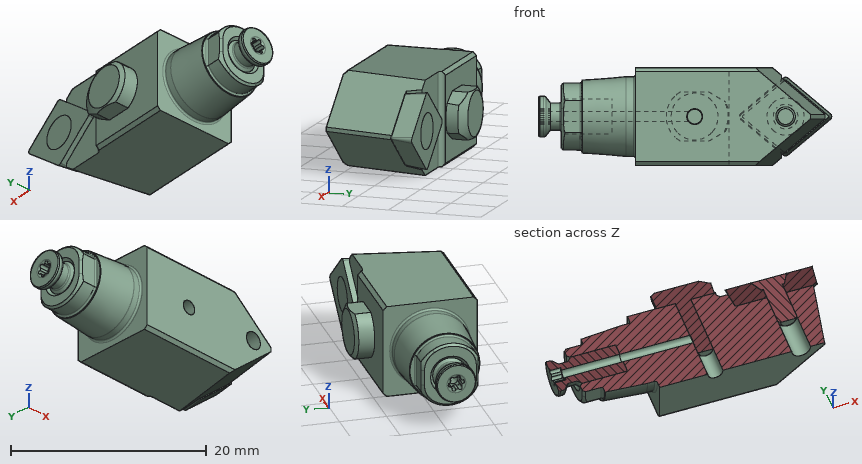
import cadquery as cq
import math

BLOCK_SIDE = 10.0
HALF_SIDE = BLOCK_SIDE / 2
BLOCK_CHAMFER = 0.4
NOSE_X = 17.88
NOSE_WIDTH = 0.45
POINT_HALF_ANGLE = 40.0
RELIEF_ANGLE = 7.0

STEP_X = 9.55
STEP_DEPTH = 0.65
STEP_FILLET = 0.5

SHOULDER_X = -5.47
TAPER_END_X = -1.0
TAPER_SMALL_RADIUS = 3.75
TAPER_LARGE_RADIUS = 8.15 / 2
SHOULDER_CHAMFER = 0.05
BASE_FILLET = 0.2

SPIGOT_END_X = -7.6
SPIGOT_RADIUS = 3.45
FLAT_HALF_WIDTH = 3.02
SPIGOT_FILLET = 0.18
SPIGOT_FACE_RADIUS = 3.2
SPIGOT_FACE_HALF_WIDTH = 2.75
SPIGOT_FACE_CORNER = 2.25
SPIGOT_MOUTH_RADIUS = 4.2 / 2

BOLT_END_X = -9.87
BOLT_TIP_X = -2.4
BOLT_HEAD_RADIUS = 4.2 / 2
BOLT_NECK_RADIUS = 2.8 / 2
BOLT_FLARE_RADIUS = 3.0 / 2
BOLT_EDGE_LENGTH = 0.15
BOLT_EDGE_DROP = 0.1
BOLT_RIM_LENGTH = 0.48
BOLT_ROUND_LENGTH = 0.27
BOLT_ROUND_DROP = 0.12
BOLT_HEAD_LENGTH = 1.2
BOLT_FLARE_LENGTH = 0.18
COOLANT_RADIUS = 1.0 / 2
STAR_RADIUS = 1.32 / 2
STAR_LOBE_RADIUS = 0.2
STAR_LOBES = 6
STAR_TURN = 10.0
STAR_DEPTH = 1.2
STAR_MOUTH_RADIUS = 2.0 / 2
STAR_MOUTH_DEPTH = 0.15

INSERT_TIP_X = 20.03
INSERT_CIRCLE_RADIUS = 3.17
INSERT_THICKNESS = 2.35
INSERT_CORNER = 0.4

SCREW_RADIUS = 2.0 / 2
SCREW_TIP_RADIUS = 1.6 / 2
SCREW_LENGTH = 5.98
SCREW_HEAD_RADIUS = 3.8 / 2
SCREW_SEAT_RADIUS = 2.5 / 2
SCREW_HEAD_DEPTH = 1.2

CLAMP_X = 6.05
CLAMP_HEIGHT = 2.0
CLAMP_HALF_WIDTH = 2.5
CLAMP_BACK_RADIUS = 2.9
CLAMP_FRONT_RADIUS = 3.5
CLAMP_FRONT_BASE_RADIUS = 3.4
CLAMP_SIDE_ANGLE = 31.0
CLAMP_TOP_RADIUS = 2.4
CLAMP_TOP_ANGLE = 32.0
STUD_RADIUS = 1.6 / 2
STUD_TIP_RADIUS = 1.5 / 2
STUD_END_Y = -2.0

TAN_POINT = math.tan(math.radians(POINT_HALF_ANGLE))
SIN_POINT = math.sin(math.radians(POINT_HALF_ANGLE))
NOSE_SLOPE = math.tan(math.radians(RELIEF_ANGLE)) / SIN_POINT
INSERT_CENTRE_X = INSERT_TIP_X + INSERT_CORNER * (1 / SIN_POINT - 1) - INSERT_CIRCLE_RADIUS / SIN_POINT
CLAMP_TOP_Y = HALF_SIDE + CLAMP_HEIGHT
BOLT_BODY_RADIUS = (SPIGOT_MOUTH_RADIUS + BOLT_FLARE_RADIUS) / 2


def turned_on_x(points):
    """Solid of revolution about X from (x, radius) points that start and end on the axis."""
    return cq.Workplane("XY").polyline(points).close().revolve(360, (0, 0, 0), (1, 0, 0))


def turned_on_y(x, points):
    """Solid of revolution about the line X = x, Z = 0 from (radius, y) points."""
    profile = cq.Workplane("XY", origin=(x, 0, 0)).polyline(points).close()
    return profile.revolve(360, (0, 0, 0), (0, 1, 0))


def edges_at(x, radius):
    """Selects the edges that lie at this x and no further than this radius from the X axis."""
    margin = 0.03
    reach = radius + margin
    return cq.selectors.BoxSelector((x - margin, -reach, -reach), (x + margin, reach, reach), boundingbox=True)


def pointed_block():
    """Square block whose point leans forward from the -Y face to the +Y face."""
    half_nose = NOSE_WIDTH / 2
    flank_x = NOSE_X - (HALF_SIDE - half_nose) / TAN_POINT
    back_x = -NOSE_SLOPE * BLOCK_SIDE
    outline = [
        cq.Vector(back_x, -HALF_SIDE, -HALF_SIDE),
        cq.Vector(flank_x, -HALF_SIDE, -HALF_SIDE),
        cq.Vector(NOSE_X, -HALF_SIDE, -half_nose),
        cq.Vector(NOSE_X, -HALF_SIDE, half_nose),
        cq.Vector(flank_x, -HALF_SIDE, HALF_SIDE),
        cq.Vector(back_x, -HALF_SIDE, HALF_SIDE),
    ]
    lean = cq.Vector(NOSE_SLOPE * BLOCK_SIDE, BLOCK_SIDE, 0)
    point = cq.Solid.extrudeLinear(cq.Wire.makePolygon(outline, close=True), [], lean)
    bar = cq.Workplane("YZ").rect(BLOCK_SIDE, BLOCK_SIDE).extrude(INSERT_TIP_X)
    bar = bar.edges("|X").chamfer(BLOCK_CHAMFER)
    return bar.intersect(cq.Workplane(obj=point))


def step_cutter():
    """Removes the front of the +Y face, with a rounded inner corner."""
    length = INSERT_TIP_X - STEP_X
    cutter = cq.Workplane("XY").box(length, 2 * STEP_DEPTH, BLOCK_SIDE)
    cutter = cutter.edges("<X and <Y").fillet(STEP_FILLET)
    return cutter.translate((STEP_X + length / 2, HALF_SIDE, 0))


def taper():
    """Tapered shank with a short straight base."""
    return turned_on_x([
        (SHOULDER_X, 0),
        (SHOULDER_X, TAPER_SMALL_RADIUS - SHOULDER_CHAMFER),
        (SHOULDER_X + SHOULDER_CHAMFER, TAPER_SMALL_RADIUS),
        (TAPER_END_X, TAPER_LARGE_RADIUS),
        (0, TAPER_LARGE_RADIUS),
        (0, 0),
    ])


def two_flat_bar(start_x, length, radius, half_width):
    """Round bar along X with flats on its +Y and -Y sides."""
    bar = cq.Workplane("YZ", origin=(start_x, 0, 0)).circle(radius).extrude(length)
    slab = cq.Workplane("YZ", origin=(start_x, 0, 0)).rect(2 * half_width, 2 * radius).extrude(length)
    return bar.intersect(slab)


def spigot_bevel():
    """45 degree bevel envelope that grows from the rounded outline of the spigot end face."""
    growth = 0.6
    envelope = two_flat_bar(
        SPIGOT_END_X,
        SHOULDER_X - SPIGOT_END_X,
        SPIGOT_FACE_RADIUS + growth,
        SPIGOT_FACE_HALF_WIDTH + growth,
    )
    envelope = envelope.edges("|X").fillet(SPIGOT_FACE_CORNER + growth)
    return envelope.faces("<X").chamfer(growth)


def make_holder(pocket_shapes):
    spigot = two_flat_bar(SPIGOT_END_X, SHOULDER_X - SPIGOT_END_X, SPIGOT_RADIUS, FLAT_HALF_WIDTH)
    shank = taper().union(spigot.intersect(spigot_bevel()))
    shank = shank.edges(edges_at(SHOULDER_X, SPIGOT_RADIUS)).fillet(SPIGOT_FILLET)

    holder = pointed_block().cut(step_cutter()).union(shank)
    holder = holder.edges(edges_at(0, TAPER_LARGE_RADIUS)).fillet(BASE_FILLET)

    holder = holder.cut(turned_on_x([
        (SPIGOT_END_X, 0),
        (SPIGOT_END_X, SPIGOT_MOUTH_RADIUS),
        (SPIGOT_END_X + SPIGOT_MOUTH_RADIUS - BOLT_BODY_RADIUS, BOLT_BODY_RADIUS),
        (BOLT_TIP_X, BOLT_BODY_RADIUS),
        (BOLT_TIP_X, 0),
    ]))
    coolant_bore = cq.Workplane("YZ", origin=(SPIGOT_END_X, 0, 0)).circle(COOLANT_RADIUS)
    holder = holder.cut(coolant_bore.extrude(CLAMP_X - SPIGOT_END_X))
    for x, radius in ((CLAMP_X, STUD_RADIUS), (INSERT_CENTRE_X, SCREW_RADIUS)):
        hole = cq.Workplane("XZ", origin=(x, HALF_SIDE, 0)).circle(radius).extrude(BLOCK_SIDE)
        holder = holder.cut(hole)
    for shape in pocket_shapes:
        holder = holder.cut(shape)
    return holder


def star_socket():
    """Six-lobed socket with a coned mouth."""
    end = cq.Workplane("YZ", origin=(BOLT_END_X, 0, 0))
    socket = end.circle(STAR_RADIUS).extrude(STAR_DEPTH)
    for lobe in range(STAR_LOBES):
        angle = math.radians(lobe * 360 / STAR_LOBES - STAR_TURN)
        centre = (STAR_RADIUS * math.cos(angle), STAR_RADIUS * math.sin(angle))
        socket = socket.union(end.center(*centre).circle(STAR_LOBE_RADIUS).extrude(STAR_DEPTH))
    mouth = turned_on_x([
        (BOLT_END_X, 0),
        (BOLT_END_X, STAR_MOUTH_RADIUS),
        (BOLT_END_X + STAR_MOUTH_DEPTH, COOLANT_RADIUS),
        (BOLT_END_X + STAR_MOUTH_DEPTH, 0),
    ])
    return socket.union(mouth)


def bolt_blank():
    rim_end = BOLT_END_X + BOLT_RIM_LENGTH
    return (
        cq.Workplane("XY")
        .moveTo(BOLT_END_X, 0)
        .lineTo(BOLT_END_X, BOLT_HEAD_RADIUS - BOLT_EDGE_DROP)
        .lineTo(BOLT_END_X + BOLT_EDGE_LENGTH, BOLT_HEAD_RADIUS)
        .lineTo(rim_end, BOLT_HEAD_RADIUS)
        .tangentArcPoint((BOLT_ROUND_LENGTH, -BOLT_ROUND_DROP))
        .lineTo(BOLT_END_X + BOLT_HEAD_LENGTH, BOLT_NECK_RADIUS)
        .lineTo(SPIGOT_END_X - BOLT_FLARE_LENGTH, BOLT_NECK_RADIUS)
        .tangentArcPoint((BOLT_FLARE_LENGTH, BOLT_FLARE_RADIUS - BOLT_NECK_RADIUS))
        .lineTo(SPIGOT_END_X + BOLT_BODY_RADIUS - BOLT_FLARE_RADIUS, BOLT_BODY_RADIUS)
        .lineTo(BOLT_TIP_X, BOLT_BODY_RADIUS)
        .lineTo(BOLT_TIP_X, 0)
        .close()
        .revolve(360, (0, 0, 0), (1, 0, 0))
    )


def make_bolt():
    coolant_bore = cq.Workplane("YZ", origin=(BOLT_END_X, 0, 0)).circle(COOLANT_RADIUS)
    return bolt_blank().cut(star_socket()).cut(coolant_bore.extrude(BOLT_TIP_X - BOLT_END_X))


def insert_blank():
    """Rhombic plate with rounded corners that narrows away from its +Y face."""
    half_length = INSERT_CIRCLE_RADIUS / SIN_POINT
    half_width = half_length * TAN_POINT
    corners = [(half_length, 0), (0, half_width), (-half_length, 0), (0, -half_width)]
    plate = cq.Workplane("XZ", origin=(INSERT_CENTRE_X, HALF_SIDE, 0)).polyline(corners).close()
    rounded = plate.extrude(INSERT_THICKNESS).edges("|Y").fillet(INSERT_CORNER)
    outline = rounded.faces(">Y").wires().val()
    return (
        cq.Workplane("XZ", origin=(INSERT_CENTRE_X, HALF_SIDE, 0))
        .newObject([outline])
        .toPending()
        .extrude(INSERT_THICKNESS, taper=RELIEF_ANGLE)
    )


def insert_corner_relief():
    """Square clearances in the pocket, outward from the corner rounds at the sides of the insert."""
    round_z = (INSERT_CIRCLE_RADIUS - INSERT_CORNER) / math.cos(math.radians(POINT_HALF_ANGLE))
    length = HALF_SIDE - round_z
    return (
        cq.Workplane("XZ", origin=(INSERT_CENTRE_X, HALF_SIDE, 0))
        .pushPoints([(0, round_z + length / 2), (0, -round_z - length / 2)])
        .rect(2 * INSERT_CORNER, length)
        .extrude(INSERT_THICKNESS)
    )


def make_insert_screw():
    tip_y = HALF_SIDE - SCREW_LENGTH
    seat_y = HALF_SIDE - SCREW_HEAD_DEPTH
    return turned_on_y(INSERT_CENTRE_X, [
        (0, HALF_SIDE),
        (SCREW_HEAD_RADIUS, HALF_SIDE),
        (SCREW_SEAT_RADIUS, seat_y),
        (SCREW_RADIUS, seat_y),
        (SCREW_RADIUS, tip_y + SCREW_RADIUS - SCREW_TIP_RADIUS),
        (SCREW_TIP_RADIUS, tip_y),
        (0, tip_y),
    ])


def clamp_outline():
    """Flat-sided outline with a round back and a pointed front."""
    flat_x = math.sqrt(CLAMP_BACK_RADIUS ** 2 - CLAMP_HALF_WIDTH ** 2)
    point_x = flat_x + CLAMP_HALF_WIDTH / math.tan(math.radians(CLAMP_SIDE_ANGLE))
    return (
        cq.Workplane("XZ", origin=(CLAMP_X, CLAMP_TOP_Y, 0))
        .moveTo(-flat_x, CLAMP_HALF_WIDTH)
        .lineTo(flat_x, CLAMP_HALF_WIDTH)
        .lineTo(point_x, 0)
        .lineTo(flat_x, -CLAMP_HALF_WIDTH)
        .lineTo(-flat_x, -CLAMP_HALF_WIDTH)
        .threePointArc((-CLAMP_BACK_RADIUS, 0), (-flat_x, CLAMP_HALF_WIDTH))
        .close()
    )


def make_clamp():
    """Bevelled head, its front point rounded off, on a plain stud."""
    bevel_drop = (CLAMP_FRONT_RADIUS - CLAMP_TOP_RADIUS) * math.tan(math.radians(CLAMP_TOP_ANGLE))
    round_envelope = turned_on_y(CLAMP_X, [
        (0, CLAMP_TOP_Y),
        (CLAMP_TOP_RADIUS, CLAMP_TOP_Y),
        (CLAMP_FRONT_RADIUS, CLAMP_TOP_Y - bevel_drop),
        (CLAMP_FRONT_BASE_RADIUS, HALF_SIDE),
        (0, HALF_SIDE),
    ])
    head = clamp_outline().extrude(CLAMP_HEIGHT).intersect(round_envelope)
    stud = turned_on_y(CLAMP_X, [
        (0, HALF_SIDE),
        (STUD_RADIUS, HALF_SIDE),
        (STUD_RADIUS, STUD_END_Y + STUD_RADIUS - STUD_TIP_RADIUS),
        (STUD_TIP_RADIUS, STUD_END_Y),
        (0, STUD_END_Y),
    ])
    return head.union(stud)


bolt = make_bolt()
insert_screw = make_insert_screw()
insert = insert_blank().cut(insert_screw)
clamp = make_clamp()
holder = make_holder([insert_blank(), insert_corner_relief()])

result = cq.Compound.makeCompound([
    holder.val(),
    bolt.val(),
    insert.val(),
    insert_screw.val(),
    clamp.val(),
])